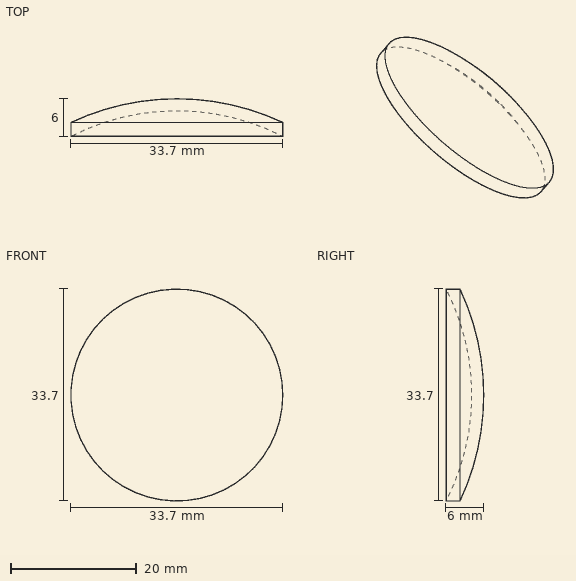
import cadquery as cq

diameter = 33.7
overall_depth = 6.0
rim_width = 2.22
concave_sag = 4.08

radius = diameter / 2
convex_sag = overall_depth - rim_width


def arc_middle(sag, rim_y):
    """Point on a spherical face at half the lens radius, for an arc crest sag above rim_y."""
    sphere_radius = (radius**2 + sag**2) / (2 * sag)
    center_y = rim_y + sag - sphere_radius
    middle_x = radius / 2
    return middle_x, center_y + (sphere_radius**2 - middle_x**2) ** 0.5


half_section = (
    cq.Workplane("XY")
    .moveTo(0, concave_sag)
    .threePointArc(arc_middle(concave_sag, 0), (radius, 0))
    .lineTo(radius, rim_width)
    .threePointArc(arc_middle(convex_sag, rim_width), (0, overall_depth))
    .close()
)

result = half_section.revolve(360, (0, 0, 0), (0, 1, 0))